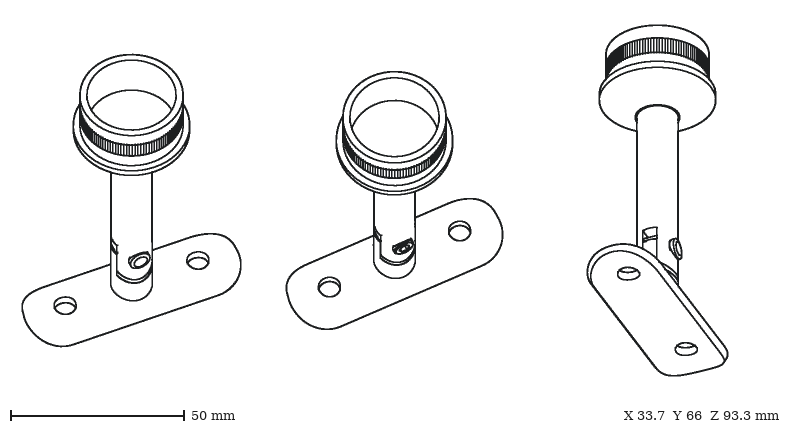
import cadquery as cq
import math

cup_height = 93.3
cup_radius = 14.9
bore_radius = 12.9
bore_depth = 14.0
flange_diameter = 33.7
flange_radius = flange_diameter / 2
flange_top = 79.3
flange_bottom = 77.15
cone_foot = 71.2
cone_foot_radius = 6.4
knurl_bottom = 83.8
knurl_top = 88.8
knurl_depth = 0.3
knurl_teeth = 112

rod_radius = 6.0
pivot_height = 23.3
fork_slot_width = 4.5
fork_slot_top = 28.55
fork_end_radius = 8.8

post_radius = 6.1
tongue_shoulder = 24.4
tongue_crown = 28.4
crown_half_length = 5.6
relief_radius = 10.3

plate_length = 66.0
plate_inner_radius = 17.4
plate_thickness = 2.7
plate_crest = 5.9
plate_half_angle = 35.1
plate_corner_radius = 10.3
plate_edge_fillet = 0.9
mount_hole_spacing = 41.8
mount_hole_radius = 3.2
plate_outer_radius = plate_inner_radius + plate_thickness
plate_axis_height = plate_crest - plate_outer_radius

pin_radius = 1.9
head_radius = 3.1
head_seat = 5.0
flat_head_end = 6.5
flat_head_chamfer = 0.4
domed_head_end = 6.7
dome_height = 0.4
dome_face_radius = 2.05
socket_width = 2.8
socket_depth = 1.4

clear = 56.0


def z_cylinder(radius, bottom, top):
    return cq.Workplane("XY", origin=(0, 0, bottom)).circle(radius).extrude(top - bottom)


def hinge_cylinder(radius, start, end):
    """Cylinder on the hinge axis, from X = start to X = end."""
    return cq.Workplane("YZ", origin=(start, 0, pivot_height)).circle(radius).extrude(end - start)


def hinge_disc(radius):
    return hinge_cylinder(radius, -clear / 2, clear / 2)


def centre_slab(height):
    """Block as thick as the fork slot, from Z = 0 up to the given height."""
    return cq.Workplane("XY").box(fork_slot_width, clear, height, centered=(True, True, False))


def make_cup():
    profile = [
        (0, cone_foot),
        (cone_foot_radius, cone_foot),
        (flange_radius, flange_bottom),
        (flange_radius, flange_top),
        (cup_radius, flange_top),
        (cup_radius, cup_height),
        (0, cup_height),
    ]
    body = cq.Workplane("XZ").polyline(profile).close().revolve(360, (0, 0, 0), (0, 1, 0))
    bore = z_cylinder(bore_radius, cup_height - bore_depth, cup_height)
    return body.cut(bore).cut(knurl_grooves())


def knurl_grooves():
    """Ring of sharp grooves between the rounded teeth of the knurled band."""
    root_radius = cup_radius - knurl_depth

    def rim_point(radius, turns):
        angle = 2 * math.pi * turns
        return (radius * math.cos(angle), radius * math.sin(angle))

    outline = cq.Workplane("XY", origin=(0, 0, knurl_bottom)).moveTo(root_radius, 0)
    for tooth in range(knurl_teeth):
        tip = rim_point(cup_radius, (tooth + 0.5) / knurl_teeth)
        next_root = rim_point(root_radius, (tooth + 1) / knurl_teeth)
        outline = outline.threePointArc(tip, next_root)
    teeth = outline.close().extrude(knurl_top - knurl_bottom)
    return z_cylinder(flange_radius, knurl_bottom, knurl_top).cut(teeth)


def make_rod():
    shaft = z_cylinder(rod_radius, pivot_height, cone_foot)
    fork_end = z_cylinder(rod_radius, 0, pivot_height).intersect(hinge_disc(fork_end_radius))
    rod = shaft.union(fork_end).cut(centre_slab(fork_slot_top)).cut(hinge_disc(pin_radius))
    for start, end in ((-clear / 2, -head_seat), (head_seat, clear / 2)):
        rod = rod.cut(hinge_cylinder(head_radius, start, end))
    return rod


def make_post():
    tongue_outline = (
        cq.Workplane("YZ", origin=(-clear / 2, 0, 0))
        .moveTo(-post_radius, 0)
        .lineTo(-post_radius, tongue_shoulder)
        .lineTo(-crown_half_length, tongue_shoulder)
        .threePointArc((0, tongue_crown), (crown_half_length, tongue_shoulder))
        .lineTo(post_radius, tongue_shoulder)
        .lineTo(post_radius, 0)
        .close()
        .extrude(clear)
    )
    post = z_cylinder(post_radius, 0, tongue_crown).intersect(tongue_outline)
    post = post.cut(plate_cylinder(plate_outer_radius))

    beside_tongue = cq.Workplane("XY").box(clear, clear, clear, centered=(True, True, False))
    beside_tongue = beside_tongue.cut(centre_slab(clear))
    above_pivot = z_cylinder(clear / 2, pivot_height, clear)
    post = post.cut(beside_tongue.intersect(hinge_disc(fork_end_radius).union(above_pivot)))

    skin = z_cylinder(clear / 2, 0, clear).cut(z_cylinder(rod_radius, 0, clear))
    post = post.cut(skin.intersect(beside_tongue).intersect(hinge_disc(relief_radius)))
    return post.cut(hinge_disc(pin_radius))


def plate_cylinder(radius):
    """Cylinder along Y on the axis of the plate's arch."""
    plane = cq.Workplane("XZ", origin=(0, plate_length / 2, plate_axis_height))
    return plane.circle(radius).extrude(plate_length)


def plate_side(side):
    """Block bounded by one radial side of the plate, with its two corners rounded."""
    block = cq.Workplane("XY").box(clear, plate_length, clear).translate((-side * clear / 2, 0, 0))
    block = block.edges("|Z and >X" if side > 0 else "|Z and <X").fillet(plate_corner_radius)
    return block.rotate((0, 0, 0), (0, 1, 0), side * plate_half_angle).translate((0, 0, plate_axis_height))


def make_plate():
    plate = plate_cylinder(plate_outer_radius).cut(plate_cylinder(plate_inner_radius))
    above_axis = cq.Workplane("XY").box(clear, 2 * plate_length, clear, centered=(True, True, False))
    plate = plate.intersect(above_axis.translate((0, 0, plate_axis_height)))
    for side in (-1, 1):
        plate = plate.intersect(plate_side(side))
    top_face = cq.selectors.NearestToPointSelector((0, 0, plate_crest))
    plate = plate.faces(top_face).edges().fillet(plate_edge_fillet)
    hole_centres = [(0, -mount_hole_spacing / 2), (0, mount_hole_spacing / 2)]
    holes = cq.Workplane("XY").pushPoints(hole_centres).circle(mount_hole_radius).extrude(clear)
    return plate.cut(holes)


def make_bolt():
    pin = hinge_cylinder(pin_radius, -head_seat, head_seat)
    flat_head = hinge_cylinder(head_radius, -flat_head_end, -head_seat)
    flat_head = flat_head.faces("<X").chamfer(flat_head_chamfer)
    domed_head = hinge_cylinder(head_radius, head_seat, domed_head_end)
    domed_head = domed_head.faces(">X").chamfer(dome_height, head_radius - dome_face_radius)
    socket = (
        cq.Workplane("YZ", origin=(-flat_head_end, 0, pivot_height))
        .transformed(rotate=(0, 0, 90))
        .polygon(6, socket_width, circumscribed=True)
        .extrude(socket_depth)
    )
    return pin.union(flat_head).union(domed_head).cut(socket)


cup = make_cup()
rod = make_rod()
post = make_post()
plate = make_plate()
bolt = make_bolt()

result = cq.Compound.makeCompound([cup.val(), rod.val(), post.val(), plate.val(), bolt.val()])